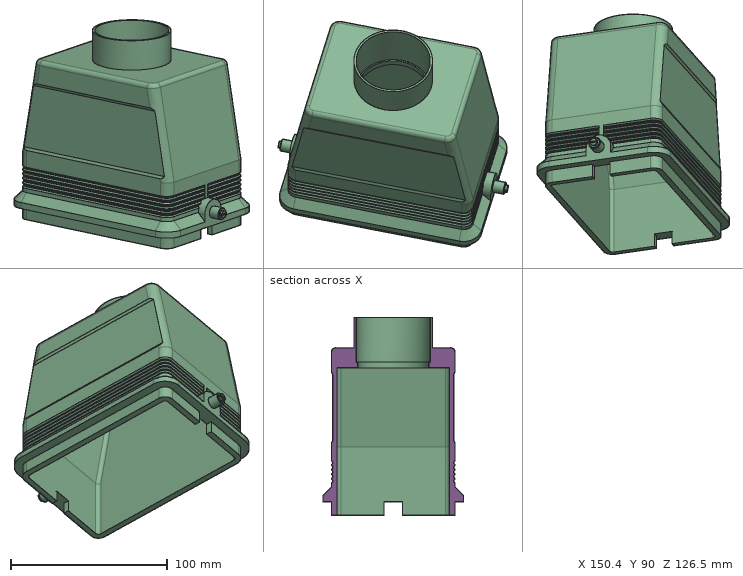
import cadquery as cq

flange_bottom = 8.6
flange_edge_height = 4.0
groove_band_bottom = 20.8
taper_start = 43.6
body_top = 107.2
tube_top = 126.5

flange_half_x = 66.2
flange_half_y = 45.0
flange_overhang = 5.4
body_half_x = flange_half_x - flange_overhang
body_half_y = flange_half_y - flange_overhang
body_corner = 6.2
body_top_half_x = 49.2
top_fillet = 3.0
wall = 3.8

panel_bottom = 46.0
panel_top = 91.7
panel_bevel_height = 1.8
panel_depth = 0.9

groove_count = 5
groove_pitch = 2.9
groove_depth = 0.9
groove_floor = 0.6
groove_bevel_angle = 45
grip_rib_width = 3.0

tube_outer_radius = 25.1
tube_bore_radius = 23.6
entry_hole_radius = 22.5
tube_ledge = 98.0
entry_plate = wall

pin_height = 17.5
pin_diameter = 7.8
pin_end_x = 73.7
pin_chamfer = 0.5
pin_tip_diameter = 4.7
pin_tip_end_x = 75.2
tip_slot_width = 0.9
tip_slot_depth = 1.0
boss_radius = 8.5

notch_width = 11.7


def rounded_outline(z, half_x, half_y, corner):
    """Rounded rectangle at height z, ready to extrude upwards."""
    sketch = cq.Sketch().rect(2 * half_x, 2 * half_y).vertices().fillet(corner)
    return cq.Workplane("XY").workplane(offset=z).placeSketch(sketch)


def body_outline(z, inset=0.0):
    """Outline of the straight part of the body, moved inwards by inset."""
    return rounded_outline(z, body_half_x - inset, body_half_y - inset, body_corner - inset)


def tapered_block(inset, bottom, top):
    """Straight block up to the taper start, then narrowing along X up to top."""
    slope = (body_half_x - body_top_half_x) / (body_top - taper_start)
    top_half_x = body_half_x - slope * (top - taper_start)
    corner = body_corner - inset
    half_y = body_half_y - inset
    low = cq.Sketch().rect(2 * (body_half_x - inset), 2 * half_y).vertices().fillet(corner)
    high = cq.Sketch().rect(2 * (top_half_x - inset), 2 * half_y).vertices().fillet(corner)
    straight = cq.Workplane("XY").workplane(offset=bottom).placeSketch(low).extrude(taper_start - bottom)
    rise = cq.Location(cq.Vector(0, 0, top - taper_start))
    upper = cq.Workplane("XY").workplane(offset=taper_start).placeSketch(low, high.moved(rise)).loft(ruled=True)
    return straight.union(upper)


def flange():
    edge = rounded_outline(
        flange_bottom, flange_half_x, flange_half_y, body_corner + flange_overhang
    ).extrude(flange_edge_height + flange_overhang)
    return edge.faces(">Z").edges().chamfer(flange_overhang)


def panel_recess(side):
    """Cutter with bevelled ends for the long side facing side * Y."""
    surface = side * body_half_y
    floor = side * (body_half_y - panel_depth)
    return (
        cq.Workplane("YZ")
        .polyline([
            (surface, panel_bottom),
            (floor, panel_bottom + panel_bevel_height),
            (floor, panel_top - panel_bevel_height),
            (surface, panel_top),
        ])
        .close()
        .extrude(body_half_x, both=True)
    )


def grip_groove(bottom):
    """Ring-shaped cutter of trapezoidal section around the body."""
    height = 2 * groove_depth + groove_floor
    floor_bottom = bottom + groove_depth
    surround = rounded_outline(bottom, flange_half_x, flange_half_y, body_corner).extrude(height)
    lower_bevel = body_outline(bottom).extrude(groove_depth, taper=groove_bevel_angle)
    core = body_outline(floor_bottom, groove_depth).extrude(groove_floor)
    upper_bevel = body_outline(floor_bottom + groove_floor, groove_depth).extrude(
        groove_depth, taper=-groove_bevel_angle
    )
    rib = (
        cq.Workplane("XY")
        .workplane(offset=bottom)
        .rect(2 * flange_half_x, grip_rib_width)
        .extrude(height)
    )
    return surround.cut(lower_bevel).cut(core).cut(upper_bevel).cut(rib)


def bosses():
    """Round-topped blocks flush with both ends of the flange."""
    return (
        cq.Workplane("YZ")
        .moveTo(-boss_radius, flange_bottom)
        .lineTo(boss_radius, flange_bottom)
        .lineTo(boss_radius, pin_height)
        .threePointArc((0, pin_height + boss_radius), (-boss_radius, pin_height))
        .close()
        .extrude(flange_half_x, both=True)
    )


def pins():
    """Locking pins on both ends, each with a slotted tip."""
    plane = cq.Workplane("YZ", origin=(0, 0, pin_height))
    shanks = plane.circle(pin_diameter / 2).extrude(pin_end_x, both=True).faces("<X or >X").chamfer(pin_chamfer)
    tips = plane.circle(pin_tip_diameter / 2).extrude(pin_tip_end_x, both=True)
    rods = shanks.union(tips)
    for side in (-1, 1):
        slot = cq.Workplane("XY").box(2 * tip_slot_depth, pin_diameter, tip_slot_width)
        rods = rods.cut(slot.translate((side * pin_tip_end_x, 0, pin_height)))
    return rods


hood = tapered_block(inset=0, bottom=0, top=body_top).faces(">Z").edges().fillet(top_fillet)
for side in (-1, 1):
    hood = hood.cut(panel_recess(side))
for index in range(groove_count):
    hood = hood.cut(grip_groove(groove_band_bottom + index * groove_pitch))
hood = hood.union(flange()).union(bosses()).union(pins())

tube = cq.Workplane("XY").workplane(offset=tube_ledge).circle(tube_outer_radius).extrude(tube_top - tube_ledge)
hood = hood.union(tube)

ceiling = tube_ledge - entry_plate
hood = hood.cut(tapered_block(inset=wall, bottom=0, top=ceiling))
hood = hood.cut(cq.Workplane("XY").workplane(offset=tube_ledge).circle(tube_bore_radius).extrude(tube_top))
hood = hood.cut(cq.Workplane("XY").circle(entry_hole_radius).extrude(tube_top))

notch = cq.Workplane("XY").rect(2 * flange_half_x, notch_width).extrude(flange_bottom)
result = hood.cut(notch)